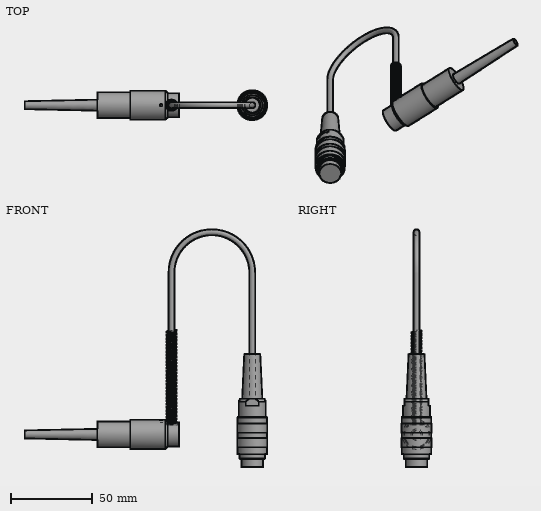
import cadquery as cq
import math


tip_end_dia = 5.1
tip_root_dia = 7.0
tip_length = 44.9

sleeve_dia = 16.0
collar_dia = 18.1
boss_dia = 15.0
collar_start = 65.0
collar_end = 88.1
collar_chamfer = 1.3
boss_end = 95.3
set_hole_dia = 1.5
set_hole_depth = 1.5
set_hole_x = 84.0

cable_dia = 3.7
cable_x = 90.5
connector_x = 140.3
cable_bend_z = 99.7
bend_radius = (connector_x - cable_x) / 2

wire_dia = 1.0
spring_outer_dia = 6.5
spring_pitch = 2.02
spring_top = 64.6
pocket_dia = 7.0
pocket_floor = 6.0

boot_top_dia = 10.0
boot_base_dia = 12.5
boot_top = 49.8
boot_chamfer = 0.5

nut_dia = 16.9
nut_top = 22.1
nut_chamfer_width = 0.9
nut_chamfer_height = 2.0
nut_flats = 14.8
flat_bottom = 17.8
grip_dia = 18.5
grip_relief_dia = 18.2
grip_top = 10.8
grip_edge_width = 0.1
grip_edge_height = 0.5
grip_bands = [(7.0, 1.0), (-2.0, -8.0)]
grip_bottom = -12.1
shoulder_dia = 16.0
shoulder_chamfer = 0.5
shoulder_bottom = -15.3
plug_dia = 13.5
plug_bottom = -20.2


def cylinder_x(diameter, start, end):
    return cq.Workplane("YZ", origin=(start, 0, 0)).circle(diameter / 2).extrude(end - start)


def cylinder_z(diameter, x, bottom, top):
    return cq.Workplane("XY", origin=(x, 0, bottom)).circle(diameter / 2).extrude(top - bottom)


def make_tip():
    """Tapered probe tip, widening towards the housing."""
    profile = [(0, 0), (0, tip_end_dia / 2), (tip_length, tip_root_dia / 2), (tip_length, 0)]
    return cq.Workplane("XZ").polyline(profile).close().revolve(360, (0, 0, 0), (1, 0, 0))


def make_housing():
    """Sleeve, collar and boss in one turned body, with the spring pocket and a set-screw hole."""
    collar = cylinder_x(collar_dia, collar_start, collar_end).faces(">X").chamfer(collar_chamfer)
    body = cylinder_x(sleeve_dia, tip_length, collar_start).union(collar)
    body = body.union(cylinder_x(boss_dia, collar_end, boss_end))
    pocket = cylinder_z(pocket_dia, cable_x, pocket_floor, collar_dia)
    set_hole = cylinder_z(set_hole_dia, set_hole_x, collar_dia / 2 - set_hole_depth, collar_dia)
    return body.cut(pocket).cut(set_hole)


def make_cable():
    """Round cable: up from the pocket, a half-circle bend, and down through the boot."""
    path = (
        cq.Workplane("XZ")
        .moveTo(cable_x, pocket_floor)
        .lineTo(cable_x, cable_bend_z)
        .threePointArc((cable_x + bend_radius, cable_bend_z + bend_radius), (connector_x, cable_bend_z))
        .lineTo(connector_x, nut_top)
    )
    return cq.Workplane("XY", origin=(cable_x, 0, pocket_floor)).circle(cable_dia / 2).sweep(path)


def make_spring():
    """Left-handed coil of round wire whose upper end points along +X."""
    coil_radius = (spring_outer_dia - wire_dia) / 2
    height = spring_top - pocket_floor - wire_dia
    helix = cq.Wire.makeHelix(spring_pitch, height, coil_radius, lefthand=True)
    lead_angle = math.degrees(math.atan(spring_pitch / (2 * math.pi * coil_radius)))
    section = (
        cq.Workplane("XZ", origin=(coil_radius, 0, 0))
        .transformed(rotate=(-lead_angle, 0, 0))
        .circle(wire_dia / 2)
    )
    coil = section.sweep(cq.Workplane(helix), isFrenet=True)
    turns = height / spring_pitch
    coil = coil.rotate((0, 0, 0), (0, 0, 1), 360 * turns)
    return coil.translate((cable_x, 0, pocket_floor + wire_dia / 2))


def make_boot():
    """Conical strain relief standing on the connector, bored for the cable."""
    profile = [(0, nut_top), (boot_base_dia / 2, nut_top), (boot_top_dia / 2, boot_top), (0, boot_top)]
    cone = cq.Workplane("XZ").polyline(profile).close().revolve(360, (0, 0, 0), (0, 1, 0))
    cone = cone.faces(">Z").edges().chamfer(boot_chamfer)
    bore = cylinder_z(cable_dia, 0, nut_top, boot_top)
    return cone.cut(bore).translate((connector_x, 0, 0))


def make_connector():
    """Turned connector with a stepped grip and two flats on the back nut."""
    profile = [
        (0, nut_top),
        (nut_dia / 2 - nut_chamfer_width, nut_top),
        (nut_dia / 2, nut_top - nut_chamfer_height),
        (nut_dia / 2, grip_top),
        (grip_relief_dia / 2 - grip_edge_width, grip_top),
        (grip_relief_dia / 2, grip_top - grip_edge_height),
    ]
    for band_top, band_bottom in grip_bands:
        profile += [
            (grip_relief_dia / 2, band_top),
            (grip_dia / 2, band_top - grip_edge_height),
            (grip_dia / 2, band_bottom),
            (grip_relief_dia / 2, band_bottom),
        ]
    profile += [
        (grip_relief_dia / 2, grip_bottom),
        (shoulder_dia / 2, grip_bottom),
        (shoulder_dia / 2, shoulder_bottom + shoulder_chamfer),
        (shoulder_dia / 2 - shoulder_chamfer, shoulder_bottom),
        (plug_dia / 2, shoulder_bottom),
        (plug_dia / 2, plug_bottom),
        (0, plug_bottom),
    ]
    body = cq.Workplane("XZ").polyline(profile).close().revolve(360, (0, 0, 0), (0, 1, 0))
    for side in (-1, 1):
        flat = (
            cq.Workplane("XY", origin=(0, side * nut_flats / 2, flat_bottom))
            .rect(nut_dia, nut_dia)
            .extrude(nut_top - flat_bottom)
            .translate((0, side * nut_dia / 2, 0))
        )
        body = body.cut(flat)
    return body.translate((connector_x, 0, 0))


tip = make_tip()
housing = make_housing()
cable = make_cable()
spring = make_spring()
boot = make_boot()
connector = make_connector()

result = cq.Compound.makeCompound(
    [body.solids().val() for body in (tip, housing, cable, spring, boot, connector)]
)